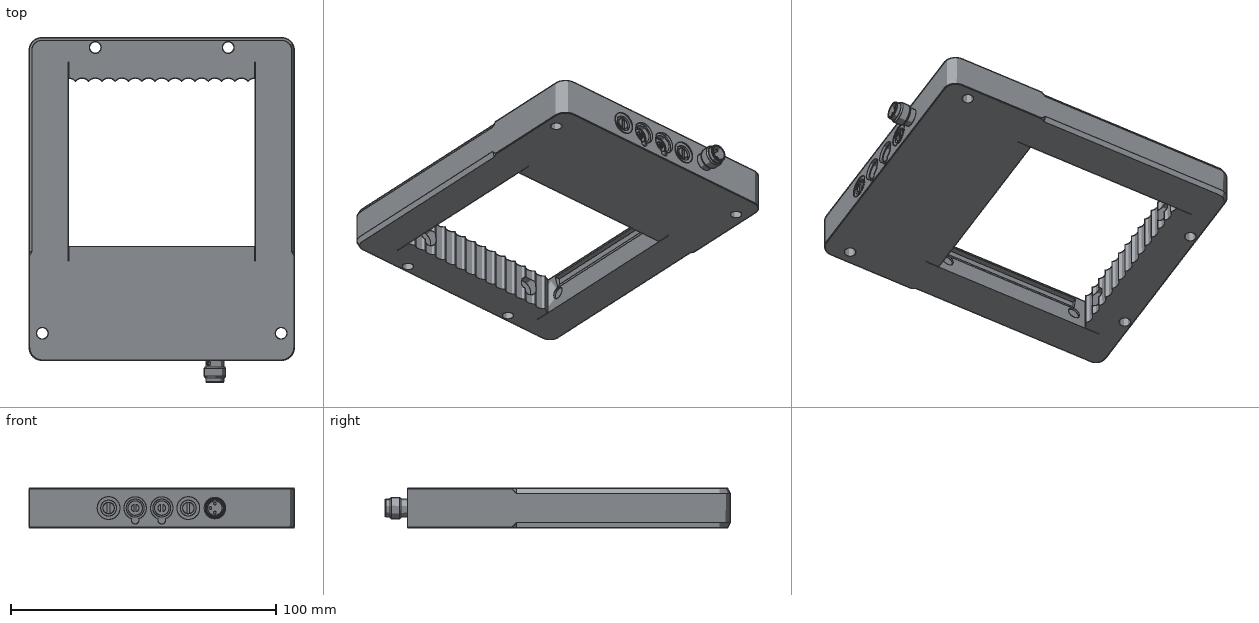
import cadquery as cq
import math


width = 100.0
height = 15.0
total_length = 130.0
connector_length = 8.3
length = total_length - connector_length
corner_radius = 5.0
half_width = width / 2
half_height = height / 2

rear_bevel_inset = 1.0
rear_bevel_height = 2.0
front_bevel = 0.3
bevel_start_y = 41.1
bevel_runout = 2.0

window_width = 70.1
scallop_count = 14
scallop_pitch = window_width / scallop_count
scallop_depth = 1.2
half_window = window_width / 2
window_front_y = 43.0
window_rear_y = 105.2

slit_width = 0.1
slit_front_y = 37.6
slit_rear_y = 112.5

lip_height = 0.85
recess_wall_depth = 1.3
recess_wall_half_height = 2.3
recess_groove_depth = 2.1
recess_groove_z = 4.2
recess_rear_y = 102.3
recess_front_y = slit_front_y + slit_rear_y - recess_rear_y

wall_bore_diameter = 7.3
wall_bore_spacing = 50.0
wall_bore_depth = 3.9

mount_diameter = 4.3
front_mount_spacing = 90.0
front_mount_y = 10.3
rear_mount_spacing = wall_bore_spacing
rear_mount_y = 117.9

control_pitch = 10.0
button_columns = (-2, 1)
potentiometer_columns = (-1, 0)
connector_column = 2

button_diameter = 8.6
button_collar_depth = 0.4
button_well_diameter = 6.0
button_well_depth = 1.3
button_cap_diameter = 4.3
button_cap_top = 0.5
button_slot_width = 1.0

pot_bore_diameter = 8.5
pot_bore_depth = 1.0
pot_well_diameter = 6.8
pot_well_depth = 2.9
pot_rim_diameter = 5.5
pot_rim_top = 2.5
pot_knob_diameter = 2.9
pot_knob_top = 2.1
pot_slot_width = 0.8
indicator_diameter = 2.9
indicator_drop = 4.5
indicator_depth = 1.0
slot_depth = 0.6

neck_diameter = 6.9
neck_root_depth = 1.3
nut_diameter = 8.0
nut_end_diameter = 7.3
tail_diameter = 6.8
tail_end_diameter = 6.4
nut_start = 2.3
nut_chamfer = 0.6
nut_end = 6.5
tail_chamfer = 0.4
socket_diameter = 5.5
socket_depth = 5.2
pin_diameter = 1.0
pin_circle_radius = 1.7
pin_length = 4.2
pin_angles = (90, 180, 270)
dimple_diameter = 1.8
dimple_depth = 0.8
dimple_y = -1.0
dimple_angle = -45


def beveled_plate(inset, bevel_height):
    """Full housing plate with its top and bottom outer edges beveled."""
    taper = math.degrees(math.atan2(inset, bevel_height))
    half_core = half_height - bevel_height

    def outline(z):
        sketch = cq.Sketch().rect(width, length).vertices().fillet(corner_radius)
        return cq.Workplane("XY").workplane(offset=z).center(0, length / 2).placeSketch(sketch)

    plate = outline(-half_core).extrude(2 * half_core)
    upper_bevel = outline(half_core).extrude(bevel_height, taper=taper)
    lower_bevel = upper_bevel.mirror("XY")
    return plate.union(upper_bevel).union(lower_bevel)


def y_slab(y_start, y_end):
    """Block wider and taller than the housing between two Y positions."""
    return cq.Workplane("XY").box(
        2 * width, y_end - y_start, 2 * height, centered=(True, False, True)
    ).translate((0, y_start, 0))


def bevel_runout_wedge():
    """Tetrahedron that fades the rear bevel out along the right upper edge."""
    tip = cq.Vector(half_width, bevel_start_y - bevel_runout, half_height)
    edge = cq.Vector(half_width, bevel_start_y, half_height)
    inner = cq.Vector(half_width - rear_bevel_inset, bevel_start_y, half_height)
    lower = cq.Vector(half_width, bevel_start_y, half_height - rear_bevel_height)
    triangles = [(tip, edge, inner), (tip, inner, lower), (tip, lower, edge), (edge, lower, inner)]
    faces = [cq.Face.makeFromWires(cq.Wire.makePolygon(list(t), close=True)) for t in triangles]
    return cq.Workplane(obj=cq.Solid.makeSolid(cq.Shell.makeShell(faces)))


def housing():
    front = beveled_plate(front_bevel, front_bevel).intersect(y_slab(0, bevel_start_y))
    rear = beveled_plate(rear_bevel_inset, rear_bevel_height).intersect(y_slab(bevel_start_y, length))
    upper_right = bevel_runout_wedge()
    right = upper_right.union(upper_right.mirror("XY"))
    return front.union(rear).cut(right).cut(right.mirror("YZ"))


def window():
    """Through opening whose rear side is a row of concave arcs."""
    outline = cq.Workplane("XY").workplane(offset=-height)
    outline = outline.moveTo(-half_window, window_front_y).lineTo(half_window, window_front_y)
    outline = outline.lineTo(half_window, window_rear_y + scallop_depth)
    half_rise = scallop_depth * 3 / 4
    outline = outline.threePointArc(
        (half_window - scallop_pitch / 4, window_rear_y + half_rise),
        (half_window - scallop_pitch / 2, window_rear_y),
    )
    for index in range(1, scallop_count):
        valley_x = half_window - index * scallop_pitch
        outline = outline.threePointArc(
            (valley_x, window_rear_y + scallop_depth), (valley_x - scallop_pitch / 2, window_rear_y)
        )
    outline = outline.threePointArc(
        (-half_window + scallop_pitch / 4, window_rear_y + half_rise),
        (-half_window, window_rear_y + scallop_depth),
    )
    return outline.close().extrude(2 * height)


def side_recess():
    """Slit and round-ended long recess in the right window side."""
    slit = cq.Workplane("XY").box(
        slit_width, slit_rear_y - slit_front_y, 2 * height, centered=(False, False, True)
    ).translate((half_window, slit_front_y, 0))
    lip_z = half_height - lip_height
    section = [
        (half_window, -lip_z),
        (half_window + recess_wall_depth, -recess_wall_half_height),
        (half_window + recess_wall_depth, recess_wall_half_height),
        (half_window + recess_groove_depth, recess_groove_z),
        (half_window + recess_groove_depth, lip_z),
        (half_window, lip_z),
    ]
    recess = cq.Workplane("XZ", origin=(0, recess_rear_y, 0)).polyline(section).close()
    recess = recess.extrude(recess_rear_y - recess_front_y)
    half_end = [
        (half_window, 0),
        (half_window + recess_groove_depth, 0),
        (half_window + recess_groove_depth, recess_wall_half_height),
        (half_window + recess_wall_depth, recess_wall_half_height),
        (half_window, lip_z),
    ]
    end = cq.Workplane("XY").polyline(half_end).close().revolve(360, (0, 0, 0), (1, 0, 0))
    for end_y in (recess_front_y, recess_rear_y):
        recess = recess.union(end.translate((0, end_y, 0)))
    return slit.union(recess)


def wall_bores():
    centers = [(-wall_bore_spacing / 2, 0), (wall_bore_spacing / 2, 0)]
    plane = cq.Workplane("XZ", origin=(0, window_rear_y - scallop_depth, 0))
    return plane.pushPoints(centers).circle(wall_bore_diameter / 2).extrude(-wall_bore_depth - scallop_depth)


def mounting_holes():
    centers = []
    for side in (-1, 1):
        centers.append((side * front_mount_spacing / 2, front_mount_y))
        centers.append((side * rear_mount_spacing / 2, rear_mount_y))
    plane = cq.Workplane("XY").workplane(offset=-height)
    return plane.pushPoints(centers).circle(mount_diameter / 2).extrude(2 * height)


def front_cylinder(diameter, start, end):
    """Cylinder on the Y axis between two depths behind the front face."""
    return cq.Workplane("XZ", origin=(0, start, 0)).circle(diameter / 2).extrude(start - end)


def slotted_post(diameter, top, base, slot_width):
    """Round post rising from a well floor, with a vertical screwdriver slot."""
    slot = cq.Workplane("XY").box(slot_width, slot_depth, diameter, centered=(True, False, True))
    return front_cylinder(diameter, top, base).cut(slot.translate((0, top, 0)))


def button_cut():
    well = front_cylinder(button_well_diameter, 0, button_well_depth)
    cap = slotted_post(button_cap_diameter, button_cap_top, button_well_depth, button_slot_width)
    return front_cylinder(button_diameter, 0, button_collar_depth).union(well).cut(cap)


def potentiometer_cut():
    bore = front_cylinder(pot_bore_diameter, 0, pot_bore_depth)
    well = front_cylinder(pot_well_diameter, 0, pot_well_depth)
    indicator = front_cylinder(indicator_diameter, 0, indicator_depth).translate((0, 0, -indicator_drop))
    knob = slotted_post(pot_knob_diameter, pot_knob_top, pot_well_depth, pot_slot_width)
    rim = front_cylinder(pot_rim_diameter, pot_rim_top, pot_well_depth)
    return bore.union(well).union(indicator).cut(rim).cut(knob)


def connector():
    """Round plug with a chamfered nut, three pins and a dimple on its neck."""
    profile = [
        (0, neck_root_depth),
        (neck_diameter / 2, neck_root_depth),
        (neck_diameter / 2, -nut_start),
        (nut_end_diameter / 2, -nut_start),
        (nut_diameter / 2, -nut_start - nut_chamfer),
        (nut_diameter / 2, -nut_end + nut_chamfer),
        (nut_end_diameter / 2, -nut_end),
        (tail_diameter / 2, -nut_end),
        (tail_diameter / 2, -connector_length + tail_chamfer),
        (tail_end_diameter / 2, -connector_length),
        (0, -connector_length),
    ]
    plug = cq.Workplane("XY").polyline(profile).close().revolve(360, (0, 0, 0), (0, 1, 0))
    socket_floor = -connector_length + socket_depth
    plug = plug.cut(front_cylinder(socket_diameter, -connector_length, socket_floor))
    for angle in pin_angles:
        pin_x = pin_circle_radius * math.cos(math.radians(angle))
        pin_z = pin_circle_radius * math.sin(math.radians(angle))
        pin = front_cylinder(pin_diameter, socket_floor - pin_length, 0)
        plug = plug.union(pin.translate((pin_x, 0, pin_z)))
    dimple = cq.Workplane("XY").workplane(offset=neck_diameter / 2 - dimple_depth)
    dimple = dimple.center(0, dimple_y).circle(dimple_diameter / 2).extrude(neck_diameter)
    return plug.cut(dimple.rotate((0, 0, 0), (0, 1, 0), dimple_angle))


right_recess = side_recess()
result = housing().cut(window()).cut(right_recess).cut(right_recess.mirror("YZ"))
result = result.cut(wall_bores()).cut(mounting_holes())
for column in button_columns:
    result = result.cut(button_cut().translate((column * control_pitch, 0, 0)))
for column in potentiometer_columns:
    result = result.cut(potentiometer_cut().translate((column * control_pitch, 0, 0)))
result = result.union(connector().translate((connector_column * control_pitch, 0, 0)))